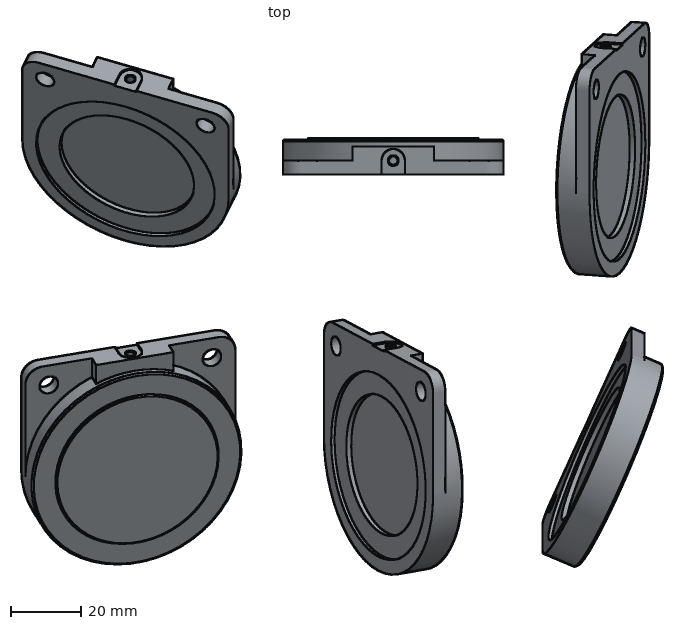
import cadquery as cq

BODY_DIAMETER = 63.0
BODY_RADIUS = BODY_DIAMETER / 2
TOTAL_HEIGHT = 67.0
TOP_Z = TOTAL_HEIGHT - BODY_RADIUS
PLATE_THICKNESS = 4.0
CORNER_RADIUS = 5.1

DRUM_REAR_Y = 10.05
DRUM_CHAMFER = 0.55

MOUNT_HOLE_DIAMETER = 5.5
MOUNT_HOLE_X = 24.45
MOUNT_HOLE_Z = TOP_Z - 6.5

BLOCK_WIDTH = 23.2
BLOCK_REAR_Y = 8.0
BLOCK_HEIGHT = 9.4
PAD_WIDTH = 6.6
PAD_DEPTH = 0.5
PORT_Y = PLATE_THICKNESS
PORT_DIAMETER = 2.5
PORT_CHAMFER = 0.3
PORT_DEPTH = 5.35

SEAT_DIAMETER = 54.5
SPIGOT_DIAMETER = 49.0
SEAT_FLOOR_Y = PLATE_THICKNESS
INSERT_FRONT_Y = 1.15
INSERT_REAR_Y = 10.5
INSERT_CHAMFER = INSERT_REAR_Y - DRUM_REAR_Y
DISH_DIAMETER = 41.0
DISH_DEPTH = 1.6


def y_cylinder(diameter, front_y, rear_y, x=0.0, z=0.0):
    """Cylinder along Y between two Y positions."""
    start = cq.Vector(x, front_y, z)
    solid = cq.Solid.makeCylinder(diameter / 2, rear_y - front_y, start, cq.Vector(0, 1, 0))
    return cq.Workplane(solid)


def y_box(width, front_y, rear_y, bottom_z, top_z):
    """Box centred on X = 0 between the given Y and Z positions."""
    corner = cq.Vector(-width / 2, front_y, bottom_z)
    return cq.Workplane(cq.Solid.makeBox(width, rear_y - front_y, top_z - bottom_z, corner))


def make_plate():
    upper = y_box(BODY_DIAMETER, 0, PLATE_THICKNESS, 0, TOP_Z)
    upper = upper.edges("|Y and >Z").fillet(CORNER_RADIUS)
    plate = upper.union(y_cylinder(BODY_DIAMETER, 0, PLATE_THICKNESS))
    for x in (-MOUNT_HOLE_X, MOUNT_HOLE_X):
        plate = plate.cut(y_cylinder(MOUNT_HOLE_DIAMETER, 0, PLATE_THICKNESS, x, MOUNT_HOLE_Z))
    return plate


def make_port_cutter():
    pad_floor_z = TOP_Z - PAD_DEPTH
    pad = y_box(PAD_WIDTH, 0, PORT_Y, pad_floor_z, TOP_Z)
    top_plane = cq.Workplane("XY", origin=(0, PORT_Y, pad_floor_z))
    pad_end = top_plane.circle(PAD_WIDTH / 2).extrude(PAD_DEPTH)
    bore = top_plane.circle(PORT_DIAMETER / 2).extrude(-PORT_DEPTH)
    countersink = cq.Workplane(cq.Solid.makeCone(
        PORT_DIAMETER / 2 + PORT_CHAMFER,
        PORT_DIAMETER / 2,
        PORT_CHAMFER,
        cq.Vector(0, PORT_Y, pad_floor_z),
        cq.Vector(0, 0, -1),
    ))
    return pad.union(pad_end).union(bore).union(countersink)


def make_housing():
    drum = y_cylinder(BODY_DIAMETER, 0, DRUM_REAR_Y).faces(">Y").edges().chamfer(DRUM_CHAMFER)
    block = y_box(BLOCK_WIDTH, 0, BLOCK_REAR_Y, TOP_Z - BLOCK_HEIGHT, TOP_Z)
    housing = make_plate().union(drum).union(block)
    housing = housing.cut(y_cylinder(SEAT_DIAMETER, 0, SEAT_FLOOR_Y))
    housing = housing.cut(y_cylinder(SPIGOT_DIAMETER, SEAT_FLOOR_Y, DRUM_REAR_Y))
    return housing.cut(make_port_cutter())


def make_insert():
    spigot = y_cylinder(SPIGOT_DIAMETER, INSERT_FRONT_Y, INSERT_REAR_Y)
    spigot = spigot.faces(">Y").edges().chamfer(INSERT_CHAMFER)
    flange = y_cylinder(SEAT_DIAMETER, INSERT_FRONT_Y, SEAT_FLOOR_Y)
    dish = y_cylinder(DISH_DIAMETER, INSERT_FRONT_Y, INSERT_FRONT_Y + DISH_DEPTH)
    return spigot.union(flange).cut(dish)


housing = make_housing()
insert = make_insert()
result = cq.Compound.makeCompound([housing.val(), insert.val()])